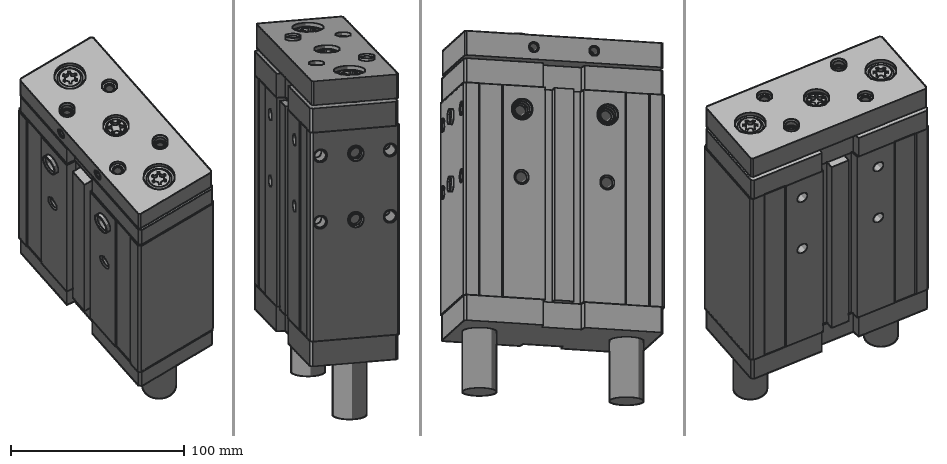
import cadquery as cq
import math


total_height = 209.8
rod_exposed = 35.9
lower_cap_height = 15.1
housing_height = 126.3
upper_cap_height = 14.5
plate_gap = 1.9
plate_thickness = 14.5

lower_cap_z = rod_exposed
housing_z = lower_cap_z + lower_cap_height
upper_cap_z = housing_z + housing_height
upper_cap_top = upper_cap_z + upper_cap_height
plate_z = upper_cap_top + plate_gap
plate_top = plate_z + plate_thickness

housing_width = 120.2
housing_depth = 53.7
cap_width = 119.0
cap_depth = 52.9
plate_width = 118.3
plate_depth = 52.0
corner_chamfer = 1.5
plate_chamfer = 1.0
plate_y = -0.2
cap_y = (housing_depth - cap_depth) / 2
overlap = 2.0

center_slot_width = 21.8
cap_slot_width = 23.5
center_slot_depth = 5.9
cap_slot_depth = 5.0
slot_flare = 0.6
rib_width = 11.5
rib_setback = 0.2
strip_width = 13.2
strip_x = 43.8
strip_depth = 0.5
strip_flare = 0.8

rod_diameter = 20.0
rod_spacing = 88.0
rod_y = -1.0
rod_points = [(-rod_spacing / 2, rod_y), (rod_spacing / 2, rod_y)]
piston_rod_diameter = 12.0
piston_rod_point = (0, 0)

rod_recess_diameter = 18.0
piston_recess_diameter = 15.0
recess_depth = 2.5
head_height = 1.0
rod_head_diameter = 15.0
rod_head_face = 12.5
piston_head_diameter = 12.0
piston_head_face = 10.5
torx_diameter = 8.8
torx_notch_diameter = 3.1
torx_depth = 2.5
torx_lobes = 6
rod_socket_turn = 0
piston_socket_turn = 30

small_sleeve_diameter = 9.0
small_sleeve_bore = 6.7
small_sleeve_mouth = 8.5
small_sleeve_length = 4.0
side_sleeve_reach = 1.7
plate_sleeve_seat = small_sleeve_length - (total_height - plate_top)
side_sleeve_seat = small_sleeve_length - side_sleeve_reach
large_sleeve_diameter = 12.0
large_sleeve_bore = 9.0
large_sleeve_mouth = 11.0
large_sleeve_length = 5.0
large_sleeve_seat = large_sleeve_length / 2

drill_point_angle = 118
plate_hole_dx = 25.0
plate_hole_dy = 15.1
plate_hole_y = -1.7
plate_hole_diameter = 4.8
plate_hole_mouth = 6.0
front_hole_x = 18.0
front_hole_depth = 10.5
upper_row_z = 163.0
lower_row_z = 123.0
through_hole_x = 25.5
through_hole_diameter = 6.7
through_hole_mouth = 8.5
side_hole_y = 21.0
side_hole_diameter = 6.7
side_hole_mouth = 8.0
side_hole_depth = 12.5
channel_diameter = 8.8


def block(width, depth, height, y, z, chamfer):
    """Box with its vertical edges chamfered, standing on height z."""
    body = cq.Workplane("XY").box(width, depth, height, centered=(True, True, False))
    return body.edges("|Z").chamfer(chamfer).translate((0, y, z))


def cylinder(point, direction, diameter, length):
    """Cylinder that starts at point and runs along direction."""
    start = cq.Vector(*point)
    axis = cq.Vector(*direction)
    return cq.Workplane(cq.Solid.makeCylinder(diameter / 2, length, start, axis))


def cone(point, direction, start_diameter, end_diameter, length):
    """Truncated or pointed cone that starts at point and runs along direction."""
    start = cq.Vector(*point)
    axis = cq.Vector(*direction)
    return cq.Workplane(cq.Solid.makeCone(start_diameter / 2, end_diameter / 2, length, start, axis))


def chamfered_hole(point, direction, diameter, mouth, depth):
    """Cutter for a hole with a 45 degree chamfer at its mouth."""
    hole = cylinder(point, direction, diameter, depth)
    return hole.union(cone(point, direction, mouth, diameter, (mouth - diameter) / 2))


def drilled_hole(point, direction, diameter, mouth, depth):
    """Cutter for a chamfered blind hole that ends in a drill point."""
    hole = chamfered_hole(point, direction, diameter, mouth, depth)
    bottom = cq.Vector(*point) + cq.Vector(*direction) * depth
    tip = diameter / 2 / math.tan(math.radians(drill_point_angle / 2))
    return hole.union(cone(bottom.toTuple(), direction, diameter, 0, tip))


def vertical_slot(x, floor_width, flare, face_y, depth, z, height):
    """Cutter for a groove with leaning side walls in the face at face_y."""
    outward = math.copysign(1, face_y)
    floor_half = floor_width / 2
    mouth_half = floor_half + flare
    floor_y = face_y - outward * depth
    outside_y = face_y + outward * overlap
    profile = [
        (x - floor_half, floor_y),
        (x + floor_half, floor_y),
        (x + mouth_half, face_y),
        (x + mouth_half, outside_y),
        (x - mouth_half, outside_y),
        (x - mouth_half, face_y),
    ]
    return cq.Workplane("XY").workplane(offset=z).polyline(profile).close().extrude(height)


front_y = -housing_depth / 2
side_x = -housing_width / 2
row_heights = [upper_row_z, lower_row_z]
plate_holes = [
    (sx * plate_hole_dx, plate_hole_y + sy * plate_hole_dy, plate_top)
    for sx in (-1, 1)
    for sy in (-1, 1)
]
plate_sleeve_points = [plate_holes[0], plate_holes[3]]
side_sleeve_points = [(side_x, 0, z) for z in row_heights]
front_sleeve_points = [(sx * through_hole_x, front_y, upper_row_z) for sx in (-1, 1)]
INTO_PLATE = (0, 0, -1)
INTO_SIDE = (1, 0, 0)
INTO_FRONT = (0, 1, 0)
UP = (0, 0, 1)


def make_housing():
    body = block(housing_width, housing_depth, housing_height, 0, housing_z, corner_chamfer)
    grooves = [
        (0, center_slot_width, slot_flare, center_slot_depth),
        (-strip_x, strip_width, strip_flare, strip_depth),
        (strip_x, strip_width, strip_flare, strip_depth),
    ]
    for face_y in (front_y, -front_y):
        for x, width, flare, depth in grooves:
            body = body.cut(vertical_slot(x, width, flare, face_y, depth, housing_z, housing_height))
    rib_depth = housing_depth - 2 * rib_setback
    rib = cq.Workplane("XY").box(rib_width, rib_depth, housing_height, centered=(True, True, False))
    body = body.union(rib.translate((0, 0, housing_z)))

    for x, y in rod_points:
        body = body.cut(cylinder((x, y, housing_z), UP, rod_diameter, housing_height))

    for z in row_heights:
        for x in (-through_hole_x, through_hole_x):
            seat = large_sleeve_seat if z == upper_row_z else 0
            mouth = (x, front_y + seat, z)
            body = body.cut(
                chamfered_hole(mouth, INTO_FRONT, through_hole_diameter, through_hole_mouth, housing_depth)
            )
    for point in front_sleeve_points:
        body = body.cut(cylinder(point, INTO_FRONT, large_sleeve_diameter, large_sleeve_seat))

    for z in row_heights:
        for y in (-side_hole_y, side_hole_y):
            body = body.cut(
                drilled_hole((side_x, y, z), INTO_SIDE, side_hole_diameter, side_hole_mouth, side_hole_depth)
            )
    for point in side_sleeve_points:
        body = body.cut(cylinder(point, INTO_SIDE, small_sleeve_diameter, side_sleeve_seat))

    channel_start = (side_x + side_hole_depth, side_hole_y, lower_row_z - side_hole_diameter)
    channel_length = upper_row_z - lower_row_z + 2 * side_hole_diameter
    return body.cut(cylinder(channel_start, UP, channel_diameter, channel_length))


def make_cap(z, height):
    body = block(cap_width, cap_depth, height, cap_y, z, corner_chamfer)
    for face_y in (cap_y - cap_depth / 2, cap_y + cap_depth / 2):
        body = body.cut(vertical_slot(0, cap_slot_width, slot_flare, face_y, cap_slot_depth, z, height))
    for x, y in rod_points:
        body = body.cut(cylinder((x, y, z), UP, rod_diameter, height))
    return body


def make_upper_cap():
    body = make_cap(upper_cap_z, upper_cap_height)
    bore = cylinder((*piston_rod_point, upper_cap_z), UP, piston_rod_diameter, upper_cap_height)
    return body.cut(bore)


def torx_socket(x, y, z, turn):
    """Cutter for a six-lobed socket whose mouth is at height z."""
    socket = cylinder((x, y, z), INTO_PLATE, torx_diameter, torx_depth)
    for i in range(torx_lobes):
        angle = math.radians(turn + i * 360 / torx_lobes)
        notch_x = x + torx_diameter / 2 * math.cos(angle)
        notch_y = y + torx_diameter / 2 * math.sin(angle)
        notch = cylinder((notch_x, notch_y, z), INTO_PLATE, torx_notch_diameter, torx_depth)
        socket = socket.cut(notch)
    return socket


def add_screw_head(plate, point, recess_diameter, head_diameter, face_diameter, turn):
    """Sink a recess into the plate and leave a bevelled screw head with a socket in it."""
    x, y = point
    floor_z = plate_top - recess_depth
    recess = cylinder((x, y, plate_top), INTO_PLATE, recess_diameter, recess_depth)
    head = cone((x, y, floor_z), UP, head_diameter, face_diameter, head_height)
    plate = plate.cut(recess).union(head)
    return plate.cut(torx_socket(x, y, floor_z + head_height, turn))


def make_yoke():
    body = block(plate_width, plate_depth, plate_thickness, plate_y, plate_z, plate_chamfer)
    rod_screw = (rod_recess_diameter, rod_head_diameter, rod_head_face, rod_socket_turn)
    piston_screw = (piston_recess_diameter, piston_head_diameter, piston_head_face, piston_socket_turn)
    for point in rod_points:
        body = add_screw_head(body, point, *rod_screw)
    body = add_screw_head(body, piston_rod_point, *piston_screw)

    for x, y, z in plate_holes:
        body = body.cut(cylinder((x, y, z), INTO_PLATE, small_sleeve_diameter, plate_sleeve_seat))
        hole_depth = plate_thickness - plate_sleeve_seat
        body = body.cut(
            chamfered_hole(
                (x, y, z - plate_sleeve_seat), INTO_PLATE, plate_hole_diameter, plate_hole_mouth, hole_depth
            )
        )
    for x in (-front_hole_x, front_hole_x):
        mouth = (x, plate_y - plate_depth / 2, plate_z + plate_thickness / 2)
        body = body.cut(
            drilled_hole(mouth, INTO_FRONT, plate_hole_diameter, plate_hole_mouth, front_hole_depth)
        )

    for x, y in rod_points:
        body = body.union(cylinder((x, y, 0), UP, rod_diameter, plate_z))
    piston_length = plate_z - upper_cap_z
    piston_rod = cylinder((*piston_rod_point, upper_cap_z), UP, piston_rod_diameter, piston_length)
    return body.union(piston_rod)


def make_sleeve(point, inward, seat, length, diameter, bore, mouth):
    """Ring seated in a face at point, with its bore countersunk at the outer end."""
    start = (cq.Vector(*point) + cq.Vector(*inward) * (seat - length)).toTuple()
    ring = cylinder(start, inward, diameter, length)
    return ring.cut(chamfered_hole(start, inward, bore, mouth, length))


def make_small_sleeve(point, inward, seat):
    return make_sleeve(
        point,
        inward,
        seat,
        small_sleeve_length,
        small_sleeve_diameter,
        small_sleeve_bore,
        small_sleeve_mouth,
    )


def make_large_sleeve(point, inward, seat):
    return make_sleeve(
        point,
        inward,
        seat,
        large_sleeve_length,
        large_sleeve_diameter,
        large_sleeve_bore,
        large_sleeve_mouth,
    )


housing = make_housing()
lower_cap = make_cap(lower_cap_z, lower_cap_height)
upper_cap = make_upper_cap()
yoke = make_yoke()
plate_sleeves = [make_small_sleeve(p, INTO_PLATE, plate_sleeve_seat) for p in plate_sleeve_points]
side_sleeves = [make_small_sleeve(p, INTO_SIDE, side_sleeve_seat) for p in side_sleeve_points]
front_sleeves = [make_large_sleeve(p, INTO_FRONT, large_sleeve_seat) for p in front_sleeve_points]
sleeves = plate_sleeves + side_sleeves + front_sleeves

result = cq.Compound.makeCompound(
    [housing.val(), lower_cap.val(), upper_cap.val(), yoke.val(), *[sleeve.val() for sleeve in sleeves]]
)